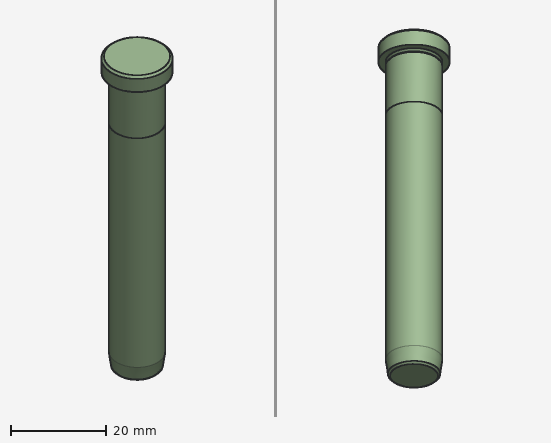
import cadquery as cq

TOTAL_LENGTH = 80.0
HEAD_DIAMETER = 15.0
HEAD_HEIGHT = 4.0
HEAD_CHAMFER = 0.6
SHANK_DIAMETER = 12.0
COLLAR_LENGTH = 13.0

GROOVE_WIDTH = 1.0
GROOVE_DEPTH = GROOVE_WIDTH / 2

TIP_LENGTH = 4.0
TIP_DIAMETER = 11.0
TIP_CHAMFER = 0.5

HEAD_RADIUS = HEAD_DIAMETER / 2
SHANK_RADIUS = SHANK_DIAMETER / 2
TIP_RADIUS = TIP_DIAMETER / 2
HEAD_BOTTOM = TOTAL_LENGTH - HEAD_HEIGHT
JOINT_HEIGHT = HEAD_BOTTOM - COLLAR_LENGTH


def revolve_profile(profile):
    """Revolve a closed radius-height outline about the Z axis."""
    return profile.close().revolve(360, (0, 0, 0), (0, 1, 0))


def make_headed_body():
    """Chamfered head, V groove and upper shank."""
    profile = (
        cq.Workplane("XZ")
        .moveTo(0, JOINT_HEIGHT)
        .lineTo(SHANK_RADIUS, JOINT_HEIGHT)
        .lineTo(SHANK_RADIUS, HEAD_BOTTOM - GROOVE_WIDTH)
        .lineTo(SHANK_RADIUS - GROOVE_DEPTH, HEAD_BOTTOM - GROOVE_WIDTH / 2)
        .lineTo(SHANK_RADIUS, HEAD_BOTTOM)
        .lineTo(HEAD_RADIUS, HEAD_BOTTOM)
        .lineTo(HEAD_RADIUS, TOTAL_LENGTH - HEAD_CHAMFER)
        .lineTo(HEAD_RADIUS - HEAD_CHAMFER, TOTAL_LENGTH)
        .lineTo(0, TOTAL_LENGTH)
    )
    return revolve_profile(profile)


def make_lower_shank():
    """Plain lower shank with a tapered lead-in and chamfered end."""
    profile = (
        cq.Workplane("XZ")
        .lineTo(TIP_RADIUS - TIP_CHAMFER, 0)
        .lineTo(TIP_RADIUS, TIP_CHAMFER)
        .lineTo(SHANK_RADIUS, TIP_LENGTH)
        .lineTo(SHANK_RADIUS, JOINT_HEIGHT)
        .lineTo(0, JOINT_HEIGHT)
    )
    return revolve_profile(profile)


headed_body = make_headed_body()
lower_shank = make_lower_shank()

result = cq.Compound.makeCompound([headed_body.val(), lower_shank.val()])